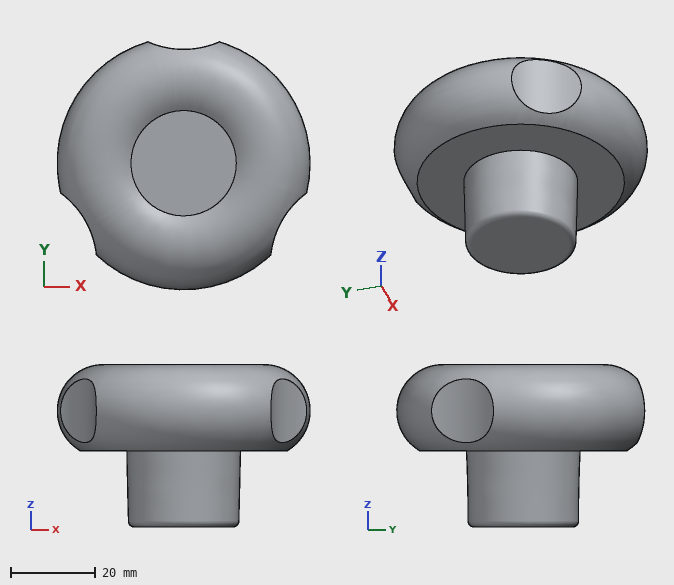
import cadquery as cq
import math

head_radius = 30.0
total_height = 38.5
head_bottom = 18.05
rim_radius = 11.0
rim_center_radius = head_radius - rim_radius
rim_center_height = total_height - rim_radius
dish_floor_radius = 12.5

hub_top_radius = 13.5
hub_bottom_radius = 13.1
hub_edge_fillet = 1.45

scallop_count = 3
scallop_first_angle = 90.0
scallop_floor_radius = 27.0
scallop_radius = 21.0
scallop_center_radius = scallop_floor_radius + scallop_radius


def rim_point(angle):
    """Point (radius, height) on the rim circle; angle in radians from the outward horizontal."""
    return (
        rim_center_radius + rim_radius * math.cos(angle),
        rim_center_height + rim_radius * math.sin(angle),
    )


def make_head():
    """Revolve one rim arc that runs from the flat underside over the top to the dish floor."""
    underside_angle = math.asin((head_bottom - rim_center_height) / rim_radius)
    dish_angle = math.acos((dish_floor_radius - rim_center_radius) / rim_radius)
    middle_angle = (underside_angle + dish_angle) / 2
    dish_edge = rim_point(dish_angle)
    dish_floor_height = dish_edge[1]
    return (
        cq.Workplane("XZ")
        .moveTo(0, head_bottom)
        .lineTo(*rim_point(underside_angle))
        .threePointArc(rim_point(middle_angle), dish_edge)
        .lineTo(0, dish_floor_height)
        .close()
        .revolve(360, (0, 0, 0), (0, 1, 0))
    )


def make_hub():
    """Cone from the base up to the underside of the head."""
    return (
        cq.Workplane("XY")
        .circle(hub_bottom_radius)
        .workplane(offset=head_bottom)
        .circle(hub_top_radius)
        .loft()
        .faces("<Z")
        .edges()
        .fillet(hub_edge_fillet)
    )


def make_scallop_cutters():
    """Upright cylinders, evenly spaced outside the head, that bite into the rim."""
    return (
        cq.Workplane("XY")
        .workplane(offset=head_bottom)
        .polarArray(scallop_center_radius, scallop_first_angle, 360, scallop_count)
        .circle(scallop_radius)
        .extrude(total_height - head_bottom)
    )


result = make_head().union(make_hub()).cut(make_scallop_cutters())